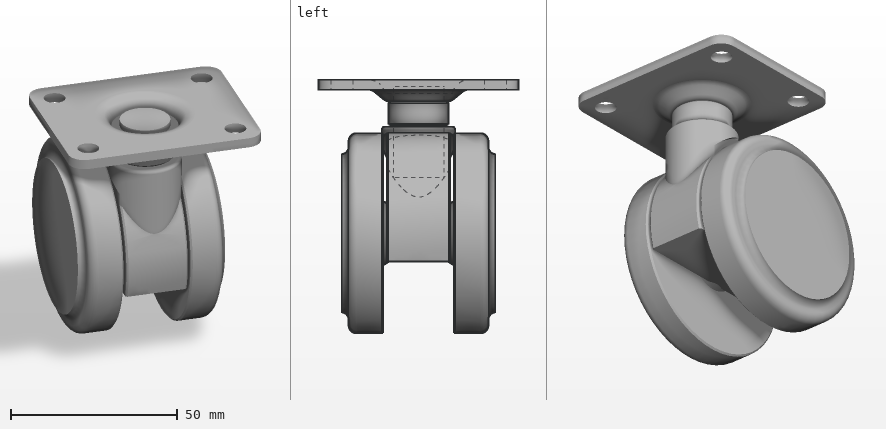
import cadquery as cq
import math


wheel_radius = 30.0
top_height = 46.0
swivel_offset = 16.95
edge_chamfer = 0.5

plate_length = 50.0
plate_width = 60.0
plate_thickness = 3.05
plate_corner_radius = 5.0
hole_diameter = 6.5
hole_spacing_x = 35.0
hole_spacing_y = 46.0

dish_rim_radius = 15.0
dish_arc_radius = 5.0
dish_depth = 4.0
bowl_root_radius = 14.75
bowl_flare_radius = 13.2
bowl_flare_depth = 3.65
bowl_shoulder_radius = 10.8
bowl_shoulder_depth = 5.6
bowl_bottom_radius = 8.5
bowl_bottom_depth = 6.5

stem_radius = 7.6
stem_top_depth = 2.0
stem_insertion = 15.2
collar_radius = 9.05
collar_length = 7.15
collar_gap = 0.4

hood_half_width = 9.6
hood_flat_drop = 8.5
column_radius = 11.0
column_fillet = 1.0
wheel_clearance_radius = 32.0
boss_tip_radius = 9.6
boss_cone_length = 1.7

wheel_inner_y = 10.5
wheel_outer_y = 21.0
tread_fillet = 2.6
cap_outer_y = 23.0
cap_radius = 23.7

plate_underside = top_height - plate_thickness
dish_floor = top_height - dish_depth
bowl_bottom = top_height - bowl_bottom_depth
stem_top = top_height - stem_top_depth
collar_bottom = bowl_bottom - collar_length
column_top = collar_bottom - collar_gap
stem_bottom = column_top - stem_insertion


def axle_cylinder(radius, half_length):
    """Cylinder around the axle, centred on the middle of the caster."""
    return cq.Workplane("XZ").circle(radius).extrude(half_length, both=True)


def swivel_cylinder(radius, bottom, top):
    """Upright cylinder around the swivel axis."""
    return cq.Workplane("XY", origin=(swivel_offset, 0, bottom)).circle(radius).extrude(top - bottom)


def swivel_profile():
    """Sketch plane whose vertical axis is the swivel axis; heights are global."""
    return cq.Workplane("XZ", origin=(swivel_offset, 0, 0))


def bowl():
    """Pressed bowl under the plate: rounded bottom, conical wall, flared root."""
    return (
        swivel_profile()
        .moveTo(0, bowl_bottom)
        .lineTo(bowl_bottom_radius, bowl_bottom)
        .tangentArcPoint((bowl_shoulder_radius, top_height - bowl_shoulder_depth), relative=False)
        .lineTo(bowl_flare_radius, top_height - bowl_flare_depth)
        .tangentArcPoint((bowl_root_radius, plate_underside), relative=False)
        .lineTo(0, plate_underside)
        .close()
        .revolve(360, (0, 0, 0), (0, 1, 0))
    )


def dish():
    """Hollow in the mounting face with a rounded wall running down to a flat floor."""
    arc_drop_to_floor = dish_arc_radius - dish_depth
    floor_radius = dish_rim_radius - math.sqrt(dish_arc_radius**2 - arc_drop_to_floor**2)
    return (
        swivel_profile()
        .moveTo(0, dish_floor)
        .lineTo(floor_radius, dish_floor)
        .radiusArc((dish_rim_radius, top_height), dish_arc_radius)
        .lineTo(0, top_height)
        .close()
        .revolve(360, (0, 0, 0), (0, 1, 0))
    )


def make_plate():
    slab = (
        cq.Workplane("XY", origin=(swivel_offset, 0, plate_underside))
        .rect(plate_length, plate_width)
        .extrude(plate_thickness)
        .edges("|Z")
        .fillet(plate_corner_radius)
    )
    screw_holes = (
        cq.Workplane("XY", origin=(swivel_offset, 0, plate_underside))
        .rect(hole_spacing_x, hole_spacing_y, forConstruction=True)
        .vertices()
        .circle(hole_diameter / 2)
        .extrude(plate_thickness)
    )
    stem_hole = swivel_cylinder(stem_radius, bowl_bottom, top_height)
    return slab.union(bowl()).cut(dish()).cut(screw_holes).cut(stem_hole)


def make_stem():
    """Pin through the plate into the hood, with a collar against the plate bowl."""
    pin = swivel_cylinder(stem_radius, stem_bottom, stem_top)
    collar = swivel_cylinder(collar_radius, collar_bottom, bowl_bottom).edges().chamfer(edge_chamfer)
    return pin.union(collar)


def hub_boss(side):
    """Boss that widens from inside the hood wall to the wheel face; side is +1 or -1."""
    root_y = wheel_inner_y - boss_cone_length
    root_radius = hood_flat_drop
    return (
        cq.Workplane("XY")
        .moveTo(0, 0)
        .lineTo(0, side * wheel_inner_y)
        .lineTo(boss_tip_radius, side * wheel_inner_y)
        .lineTo(root_radius, side * root_y)
        .lineTo(root_radius, 0)
        .close()
        .revolve(360, (0, 0, 0), (0, 1, 0))
    )


def make_hood():
    shell = axle_cylinder(wheel_radius, hood_half_width).edges().chamfer(edge_chamfer)
    below_flat = (
        cq.Workplane("XY", origin=(0, 0, -hood_flat_drop))
        .rect(2 * wheel_radius, 2 * wheel_radius)
        .extrude(-wheel_radius)
    )

    column = swivel_cylinder(column_radius, 0, column_top).faces(">Z").edges().fillet(column_fillet)
    wheel_clearance = axle_cylinder(wheel_clearance_radius, column_radius).cut(
        axle_cylinder(wheel_clearance_radius, hood_half_width)
    )

    hood = shell.cut(below_flat).union(column.cut(wheel_clearance))
    for side in (-1, 1):
        hood = hood.union(hub_boss(side))
    stem_socket = swivel_cylinder(stem_radius, stem_bottom, column_top)
    return hood.cut(stem_socket)


def make_wheel(side):
    """Wheel with a raised cap and a concave cap edge; side is +1 or -1."""
    cap_cove = cap_outer_y - wheel_outer_y
    quarter = math.sqrt(0.5)
    cove_middle = (
        cap_radius + cap_cove * (1 - quarter),
        side * (cap_outer_y - cap_cove * quarter),
    )
    tread_middle = (
        wheel_radius - tread_fillet * (1 - quarter),
        side * (wheel_outer_y - tread_fillet * (1 - quarter)),
    )
    return (
        cq.Workplane("XY")
        .moveTo(0, side * wheel_inner_y)
        .lineTo(wheel_radius - edge_chamfer, side * wheel_inner_y)
        .lineTo(wheel_radius, side * (wheel_inner_y + edge_chamfer))
        .lineTo(wheel_radius, side * (wheel_outer_y - tread_fillet))
        .threePointArc(tread_middle, (wheel_radius - tread_fillet, side * wheel_outer_y))
        .lineTo(cap_radius + cap_cove, side * wheel_outer_y)
        .threePointArc(cove_middle, (cap_radius, side * cap_outer_y))
        .lineTo(0, side * cap_outer_y)
        .close()
        .revolve(360, (0, 0, 0), (0, 1, 0))
    )


plate = make_plate()
stem = make_stem()
hood = make_hood()
wheels = [make_wheel(side) for side in (-1, 1)]

result = cq.Compound.makeCompound(
    [body.solids().val() for body in (plate, stem, hood, *wheels)]
)